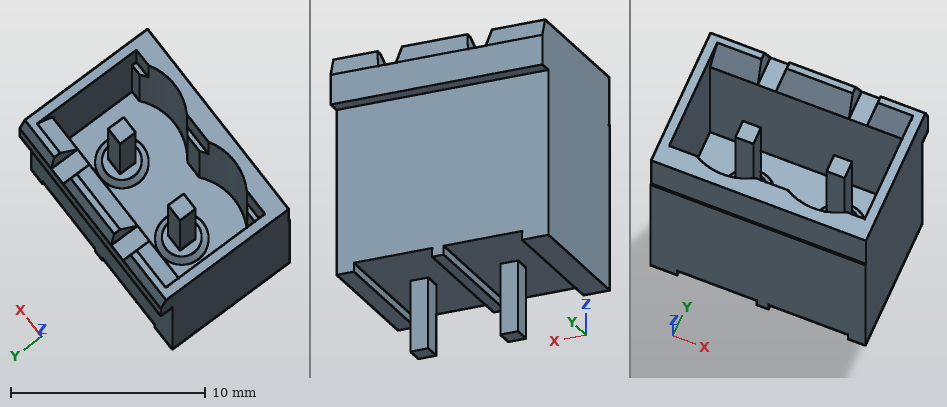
import cadquery as cq

width = 11.98
depth = 8.35
height = 15.5
body_bottom = 3.5
lip_bottom = 12.82
rear_wall_y = 7.61
front_setback = 0.08
rim_drop = 1.0
rear_chamfer = 0.34

pin_pitch = 5.08
first_pin_x = 3.7
pin_xs = [first_pin_x, first_pin_x + pin_pitch]
pin_size = 1.0
contact_y = 4.17
contact_top = 14.0
tail_y = 3.86

side_wall = 0.55
cavity_front = 1.49
cavity_front_wide = 1.21
cavity_back = 6.65
cavity_back_rim = 7.63
cavity_floor = 6.98
cavity_width = width - 2 * side_wall

scallop_half_width = 2.03
scallop_front = 0.76

collar_radius = 1.38
collar_top_radius = 1.02
collar_height = collar_radius - collar_top_radius

notch_bottom_width = 1.0
notch_top_width = 1.4
channel_width = 4.43
channel_height = 0.5


def box(x, y, z, length_x, length_y, length_z):
    """Box placed by its minimum corner."""
    return cq.Workplane("XY").box(length_x, length_y, length_z, centered=False).translate((x, y, z))


def extrude_side_profile(points, start_x, length):
    """Extrude a (Y, Z) profile along +X."""
    return cq.Workplane("YZ", origin=(start_x, 0, 0)).polyline(points).close().extrude(length)


def make_body():
    return extrude_side_profile(
        [
            (0, body_bottom),
            (rear_wall_y, body_bottom),
            (rear_wall_y, lip_bottom),
            (depth, lip_bottom),
            (depth, height - rim_drop),
            (depth - rear_chamfer, height),
            (front_setback, height),
            (front_setback, lip_bottom),
            (0, lip_bottom),
        ],
        0,
        width,
    )


def make_cavity():
    return extrude_side_profile(
        [
            (cavity_front, cavity_floor),
            (cavity_back, cavity_floor),
            (cavity_back, height - rim_drop),
            (cavity_back_rim, height),
            (cavity_front_wide, height),
            (cavity_front_wide, lip_bottom),
            (cavity_front, lip_bottom),
        ],
        side_wall,
        cavity_width,
    )


def make_scallop(x):
    return (
        cq.Workplane("XY", origin=(x, 0, cavity_floor))
        .moveTo(-scallop_half_width, cavity_front)
        .threePointArc((0, scallop_front), (scallop_half_width, cavity_front))
        .close()
        .extrude(height - cavity_floor)
    )


def make_rim_notch(x):
    """Tapered notch running in Y through the rear wall above the cavity."""
    bottom = height - rim_drop
    return (
        cq.Workplane("XZ", origin=(x, depth, 0))
        .polyline(
            [
                (-notch_bottom_width / 2, bottom),
                (notch_bottom_width / 2, bottom),
                (notch_top_width / 2, height),
                (-notch_top_width / 2, height),
            ]
        )
        .close()
        .extrude(depth - cavity_back)
    )


def make_channel(x):
    return box(x - channel_width / 2, 0, body_bottom, channel_width, rear_wall_y, channel_height)


def make_collar(x):
    return (
        cq.Workplane("XY", origin=(x, contact_y, cavity_floor))
        .circle(collar_radius)
        .workplane(offset=collar_height)
        .circle(collar_top_radius)
        .loft()
    )


def make_pin(x):
    """Upper contact and solder tail, offset in Y and meeting at the cavity floor."""
    left = x - pin_size / 2
    contact = box(
        left, contact_y - pin_size / 2, cavity_floor, pin_size, pin_size, contact_top - cavity_floor
    )
    tail = box(left, tail_y - pin_size / 2, 0, pin_size, pin_size, cavity_floor)
    return contact.union(tail)


result = make_body().cut(make_cavity())
for pin_x in pin_xs:
    result = result.cut(make_scallop(pin_x)).cut(make_rim_notch(pin_x)).cut(make_channel(pin_x))
    result = result.union(make_collar(pin_x)).union(make_pin(pin_x))